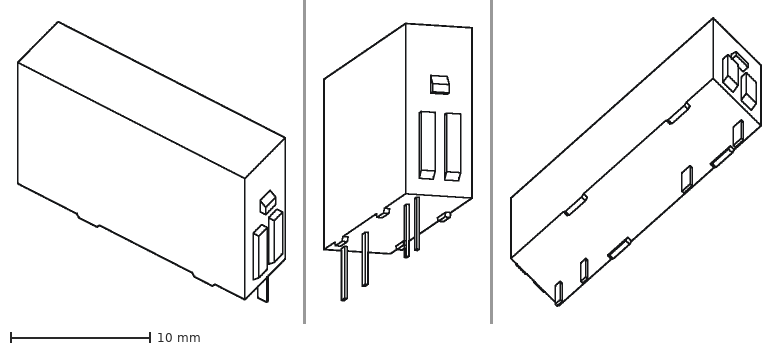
import cadquery as cq

BODY_LENGTH = 20.0
BODY_WIDTH = 5.0
BODY_HEIGHT = 12.5

END_PROJECTION = 0.5

NUB_WIDTH = 1.25
NUB_BOTTOM_Z = 7.5
LEFT_NUB_OUTER_TOP_Z = 8.1
LEFT_NUB_INNER_TOP_Z = 8.8
RIGHT_NUB_OUTER_TOP_Z = 8.25
RIGHT_NUB_INNER_TOP_Z = 8.65

RIB_WIDTH = 1.05
RIB_CENTRE_Y = 0.95
RIB_TOP_Z = 6.0
RIB_OUTER_BOTTOM_Z = 1.7
RIB_INNER_BOTTOM_Z = 1.2

FOOT_TOP_LENGTH = 2.0
FOOT_BOTTOM_LENGTH = 1.6
FOOT_HEIGHT = 0.3
FOOT_WIDTH = 0.4

PIN_PITCH = 2.54
GRID_STEP = PIN_PITCH / 2
PIN_LENGTH = 3.8
PIN_THICKNESS = 0.2
PIN_ROW_Y = 1.3
COIL_PIN_WIDTH = 0.5
CONTACT_PIN_WIDTH = 0.8

COIL_PIN_STEPS = (-7, -5)
CONTACT_PIN_STEPS = (3, 7)
FOOT_STEPS = (-3, 5)

LEFT = -1
RIGHT = 1

OVERLAP = 0.2


def extrude_along_y(points, centre_y, width):
    """Extrude a closed XZ outline to the given width about centre_y."""
    profile = cq.Workplane("XZ", origin=(0, centre_y, 0)).polyline(points).close()
    return profile.extrude(width / 2, both=True)


def make_body():
    return cq.Workplane("XY").box(BODY_LENGTH, BODY_WIDTH, BODY_HEIGHT, centered=(True, True, False))


def make_end_projection(side, flat_z, outer_z, inner_z, centre_y, width):
    """Projection on one end face with a flat end at flat_z and a slope from outer_z to inner_z."""
    face_x = side * BODY_LENGTH / 2
    outer_x = face_x + side * END_PROJECTION
    buried_x = face_x - side * OVERLAP
    points = [
        (buried_x, flat_z),
        (outer_x, flat_z),
        (outer_x, outer_z),
        (face_x, inner_z),
        (buried_x, inner_z),
    ]
    return extrude_along_y(points, centre_y, width)


def make_nub(side, outer_top_z, inner_top_z):
    return make_end_projection(side, NUB_BOTTOM_Z, outer_top_z, inner_top_z, 0, NUB_WIDTH)


def make_rib(side, centre_y):
    return make_end_projection(
        side, RIB_TOP_Z, RIB_OUTER_BOTTOM_Z, RIB_INNER_BOTTOM_Z, centre_y, RIB_WIDTH
    )


def make_foot(centre_x, centre_y):
    """Tapered foot under the body."""
    half_top = FOOT_TOP_LENGTH / 2
    half_bottom = FOOT_BOTTOM_LENGTH / 2
    points = [
        (centre_x - half_top, OVERLAP),
        (centre_x - half_top, 0),
        (centre_x - half_bottom, -FOOT_HEIGHT),
        (centre_x + half_bottom, -FOOT_HEIGHT),
        (centre_x + half_top, 0),
        (centre_x + half_top, OVERLAP),
    ]
    return extrude_along_y(points, centre_y, FOOT_WIDTH)


def make_pin(centre_x, width):
    """Flat terminal hanging from the underside."""
    height = PIN_LENGTH + OVERLAP
    pin = cq.Workplane("XY").box(width, PIN_THICKNESS, height, centered=(True, True, False))
    return pin.translate((centre_x, PIN_ROW_Y, -PIN_LENGTH))


result = make_body()

result = result.union(make_nub(LEFT, LEFT_NUB_OUTER_TOP_Z, LEFT_NUB_INNER_TOP_Z))
result = result.union(make_nub(RIGHT, RIGHT_NUB_OUTER_TOP_Z, RIGHT_NUB_INNER_TOP_Z))

for side in (LEFT, RIGHT):
    for rib_y in (-RIB_CENTRE_Y, RIB_CENTRE_Y):
        result = result.union(make_rib(side, rib_y))

foot_y = (BODY_WIDTH - FOOT_WIDTH) / 2
for step in FOOT_STEPS:
    for edge_y in (-foot_y, foot_y):
        result = result.union(make_foot(step * GRID_STEP, edge_y))

for step in COIL_PIN_STEPS:
    result = result.union(make_pin(step * GRID_STEP, COIL_PIN_WIDTH))
for step in CONTACT_PIN_STEPS:
    result = result.union(make_pin(step * GRID_STEP, CONTACT_PIN_WIDTH))